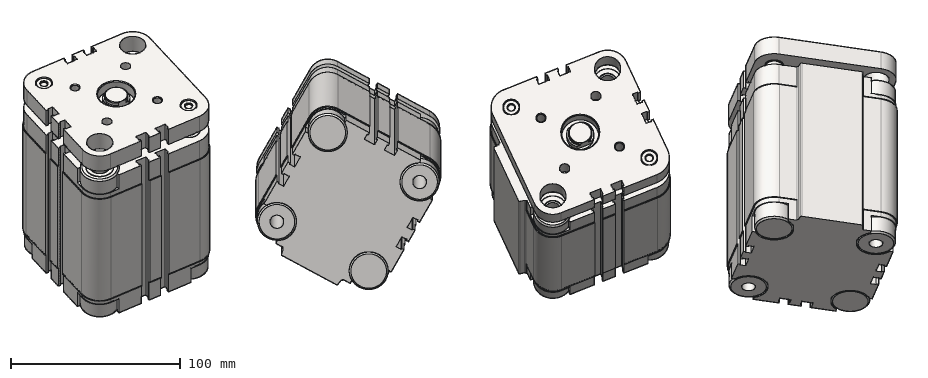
import cadquery as cq
TOTAL_HEIGHT = 129.5
HOUSING_HEIGHT = 110.0
CAP_HEIGHT = 14.4
PLATE_THICKNESS = 12.0
PLATE_BOTTOM = TOTAL_HEIGHT - PLATE_THICKNESS

CORNER_PITCH = 31.0
TUBE_WIDTH = 87.0
CAP_WIDTH = 85.7
TUBE_HALF = TUBE_WIDTH / 2

RAIL_TOP_Y = 47.5
RAIL_TOP_WIDTH = 37.8
RAIL_BASE_WIDTH = 39.1
RAIL_FOOT_WIDTH = 40.4
RAIL_ROUND = 0.6

SLOT_OFFSET = 6.7
SLOT_MOUTH_WIDTH = 5.5
SLOT_WIDTH = 6.9
SLOT_FLOOR = 38.0
SLOT_LIP = 41.3
SLOT_SIDE_ANGLES = (0, 90, -90)

CORNER_POST_DIAMETER = 23.0
CORNER_STEP_EDGE = 25.1
CORNER_STEP_HEIGHT = 11.1
POST_CHAMFER = 1.0

SCREW_HOLE_DIAMETER = 8.0
SCREW_BORE_DIAMETER = 9.0
SCREW_BORE_DEPTH = 11.1
SCREW_MOUTH_DIAMETER = 11.0
SCREW_MOUTH_DEPTH = 1.3
SCREW_SEAT_DIAMETER = 16.5
SCREW_SEAT_DEPTH = 0.4

GUIDE_DIAMETER = 10.0
GUIDE_COLLAR_DIAMETER = 11.0
GUIDE_COLLAR_HEIGHT = 0.5
GUIDE_RECESS_DIAMETER = 14.0
GUIDE_RECESS_DEPTH = 0.3
GUIDE_END_SINK = 0.6
GUIDE_END_CHAMFER = 0.5
GUIDE_SOCKET_DIAMETER = 4.1
GUIDE_SOCKET_MOUTH = 4.9
GUIDE_SOCKET_DEPTH = 1.0

ROD_DIAMETER = 16.0
ROD_FLAT_WIDTH = 13.0
ROD_SHOULDER = 1.4
STUB_DIAMETER = 14.0
STUB_CHAMFER = 0.5
STUB_TOP_GAP = 0.6
STUB_LENGTH = 2.5
ROD_INSERTION = CAP_HEIGHT

CENTER_BORE_DIAMETER = 22.0
CENTER_BORE_DEPTH = 7.3
CENTER_BORE_CHAMFER = 0.5
ROD_PROUD = 0.3
ACCESS_HOLE_DIAMETER = 15.4
MOUNT_HOLE_PITCH = 17.6
MOUNT_HOLE_DIAMETER = 6.0
TAP_HOLE_DIAMETER = 4.9

SCREW_DIAGONAL = ((-1, 1), (1, -1))
GUIDE_DIAGONAL = ((-1, -1), (1, 1))


def cylinder(diameter, bottom, top, x=0.0, y=0.0):
    """Upright cylinder between two heights."""
    return cq.Workplane("XY").workplane(offset=bottom).center(x, y).circle(diameter / 2).extrude(top - bottom)


def cone(lower_diameter, upper_diameter, bottom, top, x=0.0, y=0.0):
    """Upright truncated cone between two heights."""
    solid = cq.Solid.makeCone(lower_diameter / 2, upper_diameter / 2, top - bottom, cq.Vector(x, y, bottom))
    return cq.Workplane(obj=solid)


def at_pitch(signs, pitch):
    """Centres of the holes or rods on the given diagonal."""
    return [(sx * pitch, sy * pitch) for sx, sy in signs]


def rounded_block(width, bottom, top):
    """Square block whose corner rounds are centred on the corner axes."""
    block = cq.Workplane("XY").workplane(offset=bottom).rect(width, width).extrude(top - bottom)
    return block.edges("|Z").fillet(width / 2 - CORNER_PITCH)


def slot_cutters():
    """Full-height undercut slots, two on each slotted side."""
    mouth = SLOT_MOUTH_WIDTH / 2
    half = SLOT_WIDTH / 2
    outside = -TUBE_WIDTH
    profile = [
        (-mouth, outside), (mouth, outside), (mouth, -SLOT_LIP), (half, -SLOT_LIP),
        (half, -SLOT_FLOOR), (-half, -SLOT_FLOOR), (-half, -SLOT_LIP), (-mouth, -SLOT_LIP),
    ]
    cutters = cq.Workplane("XY")
    for angle in SLOT_SIDE_ANGLES:
        for x in (-SLOT_OFFSET, SLOT_OFFSET):
            slot = cq.Workplane("XY").center(x, 0).polyline(profile).close().extrude(TOTAL_HEIGHT)
            cutters = cutters.add(slot.rotate((0, 0, 0), (0, 0, 1), angle))
    return cutters.combine()


def rail():
    """Tapered rail along the +Y side, with rounded top edges and feet."""
    top = RAIL_TOP_WIDTH / 2
    base = RAIL_BASE_WIDTH / 2
    foot = RAIL_FOOT_WIDTH / 2
    profile = [
        (-foot, 0), (foot, 0), (foot, TUBE_HALF), (base, TUBE_HALF),
        (top, RAIL_TOP_Y), (-top, RAIL_TOP_Y), (-base, TUBE_HALF), (-foot, TUBE_HALF),
    ]
    block = cq.Workplane("XY").polyline(profile).close().extrude(HOUSING_HEIGHT)
    edge_points = [(side * x, y) for side in (-1, 1) for x, y in ((base, TUBE_HALF), (top, RAIL_TOP_Y))]
    middle = HOUSING_HEIGHT / 2
    rail_edges = cq.Workplane("XY")
    for x, y in edge_points:
        rail_edges = rail_edges.add(block.edges(cq.selectors.NearestToPointSelector((x, y, middle))))
    return cq.Workplane(obj=block.val().fillet(RAIL_ROUND, rail_edges.vals()))


def corner_step(sx, sy, at_top):
    """Corner material around a round post, and the post's chamfer all the way round."""
    bottom = HOUSING_HEIGHT - CORNER_STEP_HEIGHT if at_top else 0
    end_face = ">Z" if at_top else "<Z"
    size = TUBE_HALF - CORNER_STEP_EDGE
    middle = CORNER_STEP_EDGE + size / 2
    block = cq.Workplane("XY").box(size, size, CORNER_STEP_HEIGHT, centered=(True, True, False))
    block = block.translate((sx * middle, sy * middle, bottom))
    post = cylinder(CORNER_POST_DIAMETER, bottom, bottom + CORNER_STEP_HEIGHT, sx * CORNER_PITCH, sy * CORNER_PITCH)
    return block.cut(post).union(post.cut(post.faces(end_face).chamfer(POST_CHAMFER)))


def make_housing():
    """Tube with two end caps, rail, slots, stepped corners and bores."""
    tube_top = HOUSING_HEIGHT - CAP_HEIGHT
    housing = rounded_block(CAP_WIDTH, 0, HOUSING_HEIGHT)
    housing = housing.union(rounded_block(TUBE_WIDTH, CAP_HEIGHT, tube_top))
    housing = housing.union(rail()).cut(slot_cutters())
    for sx, sy in SCREW_DIAGONAL + GUIDE_DIAGONAL:
        housing = housing.cut(corner_step(sx, sy, at_top=False))
    for sx, sy in SCREW_DIAGONAL:
        housing = housing.cut(corner_step(sx, sy, at_top=True))

    steps = (
        (SCREW_HOLE_DIAMETER, HOUSING_HEIGHT),
        (SCREW_BORE_DIAMETER, SCREW_BORE_DEPTH),
        (SCREW_MOUTH_DIAMETER, SCREW_MOUTH_DEPTH),
        (SCREW_SEAT_DIAMETER, SCREW_SEAT_DEPTH),
    )
    for x, y in at_pitch(SCREW_DIAGONAL, CORNER_PITCH):
        for diameter, depth in steps:
            housing = housing.cut(cylinder(diameter, HOUSING_HEIGHT - depth, HOUSING_HEIGHT, x, y))

    bore_bottom = HOUSING_HEIGHT - ROD_INSERTION
    for x, y in at_pitch(GUIDE_DIAGONAL, CORNER_PITCH):
        housing = housing.cut(cylinder(GUIDE_DIAMETER, bore_bottom, HOUSING_HEIGHT, x, y))
        recess_bottom = HOUSING_HEIGHT - GUIDE_RECESS_DEPTH
        housing = housing.cut(cylinder(GUIDE_RECESS_DIAMETER, recess_bottom, HOUSING_HEIGHT, x, y))
    return housing.cut(cylinder(ROD_DIAMETER, bore_bottom, HOUSING_HEIGHT))


def make_plate():
    """Slotted front plate with its centre bore, access holes and mounting holes."""
    plate = rounded_block(CAP_WIDTH, PLATE_BOTTOM, TOTAL_HEIGHT).cut(slot_cutters())
    bore_floor = TOTAL_HEIGHT - CENTER_BORE_DEPTH
    plate = plate.cut(cylinder(CENTER_BORE_DIAMETER, bore_floor, TOTAL_HEIGHT))
    rim = CENTER_BORE_DIAMETER + 2 * CENTER_BORE_CHAMFER
    plate = plate.cut(cone(CENTER_BORE_DIAMETER, rim, TOTAL_HEIGHT - CENTER_BORE_CHAMFER, TOTAL_HEIGHT))
    for x, y in at_pitch(SCREW_DIAGONAL, CORNER_PITCH):
        plate = plate.cut(cylinder(ACCESS_HOLE_DIAMETER, PLATE_BOTTOM, TOTAL_HEIGHT, x, y))
    for x, y in at_pitch(SCREW_DIAGONAL, MOUNT_HOLE_PITCH):
        plate = plate.cut(cylinder(MOUNT_HOLE_DIAMETER, PLATE_BOTTOM, TOTAL_HEIGHT, x, y))
    sink = (MOUNT_HOLE_DIAMETER - TAP_HOLE_DIAMETER) / 2
    for x, y in at_pitch(GUIDE_DIAGONAL, MOUNT_HOLE_PITCH):
        plate = plate.cut(cylinder(TAP_HOLE_DIAMETER, PLATE_BOTTOM, TOTAL_HEIGHT, x, y))
        plate = plate.cut(cone(TAP_HOLE_DIAMETER, MOUNT_HOLE_DIAMETER, TOTAL_HEIGHT - sink, TOTAL_HEIGHT, x, y))
    return plate


def make_piston_rod():
    """Central rod with wrench flats below the plate and a flatted end above."""
    rod_bottom = HOUSING_HEIGHT - ROD_INSERTION
    bore_floor = TOTAL_HEIGHT - CENTER_BORE_DEPTH
    rod = cylinder(ROD_DIAMETER, rod_bottom, bore_floor + ROD_PROUD)

    flats_bottom = HOUSING_HEIGHT + ROD_SHOULDER
    flats_height = PLATE_BOTTOM - flats_bottom
    ring = cq.Workplane("XY").workplane(offset=flats_bottom).rect(2 * ROD_DIAMETER, 2 * ROD_DIAMETER)
    rod = rod.cut(ring.rect(2 * ROD_DIAMETER, ROD_FLAT_WIDTH).extrude(flats_height))

    stub_top = TOTAL_HEIGHT - STUB_TOP_GAP
    stub = cylinder(STUB_DIAMETER, bore_floor, stub_top).faces(">Z").chamfer(STUB_CHAMFER)
    stub = stub.union(cylinder(ROD_DIAMETER, bore_floor, stub_top - STUB_LENGTH))
    keep = cq.Workplane("XY").box(ROD_FLAT_WIDTH, ROD_DIAMETER, 2 * TOTAL_HEIGHT)
    return rod.union(stub.intersect(keep))


def make_moving_unit():
    """Front plate with its piston rod and guide rods."""
    unit = make_plate().union(make_piston_rod())
    rod_bottom = HOUSING_HEIGHT - ROD_INSERTION
    collar_bottom = PLATE_BOTTOM - GUIDE_COLLAR_HEIGHT
    end_face = TOTAL_HEIGHT - GUIDE_END_SINK
    socket_bottom = end_face - GUIDE_SOCKET_DEPTH
    socket_sink = (GUIDE_SOCKET_MOUTH - GUIDE_SOCKET_DIAMETER) / 2
    for x, y in at_pitch(GUIDE_DIAGONAL, CORNER_PITCH):
        rod = cylinder(GUIDE_DIAMETER, rod_bottom, end_face, x, y).faces(">Z").chamfer(GUIDE_END_CHAMFER)
        collar = cylinder(GUIDE_COLLAR_DIAMETER, collar_bottom, PLATE_BOTTOM, x, y)
        rod = rod.cut(cylinder(GUIDE_SOCKET_DIAMETER, socket_bottom, end_face, x, y))
        rod = rod.cut(cone(GUIDE_SOCKET_DIAMETER, GUIDE_SOCKET_MOUTH, end_face - socket_sink, end_face, x, y))
        unit = unit.cut(cylinder(GUIDE_DIAMETER, PLATE_BOTTOM, TOTAL_HEIGHT, x, y))
        unit = unit.union(rod).union(collar)
    return unit


housing = make_housing()
moving_unit = make_moving_unit()

result = cq.Compound.makeCompound([housing.val(), moving_unit.val()])